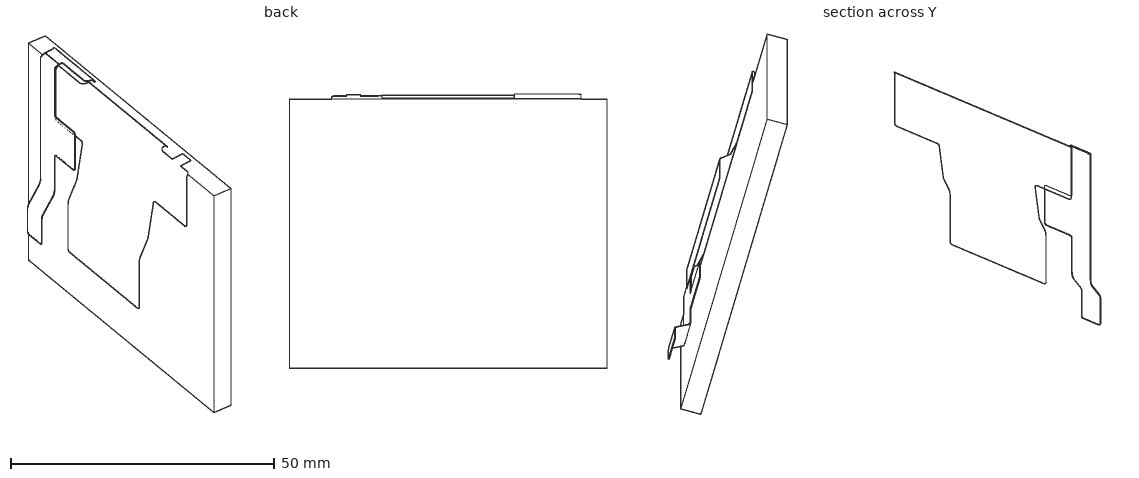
import cadquery as cq
import math


PLATE_WIDTH = 60.3
PLATE_DEPTH = 4.0
PLATE_HEIGHT = 51.15

SHEET_THICKNESS = 0.1
SHEET_FRONT = 0.72
SHEET_LEFT = 9.85
SHEET_RIGHT = 52.35
SHEET_BOTTOM = 39.25
SHEET_CORNER = 0.5
PANEL_CORNER = 0.7
FLANGE_ROOT_RADIUS = 1.0
TOP_BEND_START = 50.75
TOP_BEND_RADIUS = 1.1
TOP_BEND_ANGLE = 85
FLANGE_LEFT = 17.65
FLANGE_RIGHT = 42.7
FLANGE_RUN = 0.85
LIP_RADIUS = 0.6
LIP_ANGLE = 65
LIP_RUN = 0.3
TAB_LEFT = 46.8
TAB_RIGHT = 49.5
TAB_RUN = 2.15

TONGUE_LEFT = 18.6
TONGUE_RIGHT = 41.7
TONGUE_BOTTOM = 15.0
TONGUE_FRONT = 4.15
TONGUE_CORNER = 0.5
TONGUE_BEND_START = 39.7
TONGUE_FIRST_RADIUS = 5.25
TONGUE_FIRST_ANGLE = 9.2
TONGUE_FIRST_RUN = 7.6
TONGUE_SECOND_RADIUS = 3.0
TONGUE_SECOND_ANGLE = 26.6
TONGUE_LAST_RADIUS = 3.2

LEG_THICKNESS = 0.2
LEG_FRONT = 0.95
LEG_LEFT = 5.3
LEG_RIGHT = 9.8
LEG_BOTTOM = 11.1
LEG_FOOT_FRONT = 4.0
LEG_CORNER = 0.4
LEG_BEND_START = 23.0
LEG_BEND_ANGLE = 35
LEG_UPPER_RADIUS = 3.0
LEG_LOWER_RADIUS = 2.0
LEG_TOP_RADIUS = 0.7
LEG_TOP_ANGLE = 70
LEG_SHOULDER_RUN = 0.55
LEG_END_RADIUS = 0.5
LEG_END_ANGLE = 15
WING_RIGHT = 16.35
WING_BOTTOM = 31.1
WING_TOP = 40.1
WING_CORNER = 0.5

HOOK_LEFT = 4.9
HOOK_RIGHT = 17.6
HOOK_FRONT = 0.9
HOOK_STEP = 1.95
HOOK_CORNER = 1.0
HOOK_RUN = 1.5
HOOK_RADIUS = 1.35
HOOK_ANGLE = 70
HOOK_CREST = 52.15

CLEAR = 10.0
MATCH_TOLERANCE = 1e-4


def sine(angle):
    return math.sin(math.radians(angle))


def cosine(angle):
    return math.cos(math.radians(angle))


def trace(start, heading, moves):
    """Walk a strip's outer face in the (Y, Z) plane.

    A move is ("run", length) or ("bend", radius, angle); positive angles turn left.
    Returns the stations [(point, heading, move that led there)].
    """
    stations = [(start, heading, None)]
    y, z = start
    for move in moves:
        if move[0] == "run":
            y += move[1] * cosine(heading)
            z += move[1] * sine(heading)
        else:
            radius, angle = move[1:]
            side = math.copysign(1, angle)
            y += side * radius * (sine(heading + angle) - sine(heading))
            z += side * radius * (cosine(heading) - cosine(heading + angle))
            heading += angle
        stations.append(((y, z), heading, move))
    return stations


def bend_middle(station, end):
    """Point halfway along the bend between two stations."""
    point, heading, _ = station
    _, radius, angle = end[2]
    return trace(point, heading, [("bend", radius, angle / 2)])[-1][0]


def shift(point, heading, distance):
    """Move a point to the left of its heading."""
    return (point[0] - distance * sine(heading), point[1] + distance * cosine(heading))


def bent_strip(stations, inward, left, right):
    """Solid strip along X; `inward` is the signed thickness to the left of the walk."""
    profile = cq.Workplane("YZ", origin=(left, 0, 0)).moveTo(*stations[0][0])
    for before, after in zip(stations, stations[1:]):
        if after[2][0] == "run":
            profile = profile.lineTo(*after[0])
        else:
            profile = profile.threePointArc(bend_middle(before, after), after[0])

    inner = [shift(point, heading, inward) for point, heading, _ in stations]
    profile = profile.lineTo(*inner[-1])
    for index in range(len(stations) - 1, 0, -1):
        before, after = stations[index - 1], stations[index]
        if after[2][0] == "run":
            profile = profile.lineTo(*inner[index - 1])
        else:
            half_turn = before[1] + after[2][2] / 2
            middle = shift(bend_middle(before, after), half_turn, inward)
            profile = profile.threePointArc(middle, inner[index - 1])
    return profile.close().extrude(right - left)


def run_between_bends(offset, radii, angle):
    """Sloping length that completes a sideways offset between two opposite bends."""
    return (offset - sum(radii) * (1 - cosine(angle))) / sine(angle)


def front_outline(points):
    """Prism along Y with an (X, Z) outline."""
    return cq.Workplane("XZ", origin=(0, CLEAR, 0)).polyline(points).close().extrude(2 * CLEAR)


def plan_outline(points):
    """Prism along Z with an (X, Y) outline."""
    return cq.Workplane("XY").polyline(points).close().extrude(PLATE_HEIGHT + CLEAR)


def at_corner(edge, axis, corner):
    middle = edge.Center()
    across = middle.z if axis == "Y" else middle.y
    return math.hypot(middle.x - corner[0], across - corner[1]) < MATCH_TOLERANCE


def round_corners(prism, axis, corners, radius):
    """Fillet the prism edges along `axis` that stand at the given outline corners."""
    for corner in corners:
        edges = prism.edges("|" + axis).vals()
        chosen = [edge for edge in edges if at_corner(edge, axis, corner)]
        prism = prism.newObject(chosen).fillet(radius)
    return prism


def build_plate():
    return cq.Workplane("XY").box(PLATE_WIDTH, PLATE_DEPTH, PLATE_HEIGHT, centered=False)


def build_sheet():
    panel_start = (-SHEET_FRONT, TONGUE_BEND_START)
    rise = [
        ("run", TOP_BEND_START - TONGUE_BEND_START),
        ("bend", TOP_BEND_RADIUS, -TOP_BEND_ANGLE),
    ]
    lip = [("run", FLANGE_RUN), ("bend", LIP_RADIUS, -LIP_ANGLE), ("run", LIP_RUN)]
    panel = bent_strip(trace(panel_start, 90, rise + lip), -SHEET_THICKNESS, SHEET_LEFT, SHEET_RIGHT)
    flange_corners = [(FLANGE_LEFT, 0), (FLANGE_RIGHT, 0)]
    panel_corner = (SHEET_RIGHT, 0)
    plan = plan_outline([
        (SHEET_LEFT, -CLEAR),
        (SHEET_RIGHT, -CLEAR),
        panel_corner,
        flange_corners[1],
        (FLANGE_RIGHT, CLEAR),
        (FLANGE_LEFT, CLEAR),
        flange_corners[0],
        (SHEET_LEFT, 0),
    ])
    plan = round_corners(plan, "Z", flange_corners, FLANGE_ROOT_RADIUS)
    plan = round_corners(plan, "Z", [panel_corner], PANEL_CORNER)
    panel = panel.intersect(plan)

    tab = bent_strip(
        trace(panel_start, 90, rise + [("run", TAB_RUN)]), -SHEET_THICKNESS, TAB_LEFT, TAB_RIGHT)

    bends = [
        ("bend", TONGUE_FIRST_RADIUS, -TONGUE_FIRST_ANGLE),
        ("run", TONGUE_FIRST_RUN),
        ("bend", TONGUE_SECOND_RADIUS, TONGUE_FIRST_ANGLE - TONGUE_SECOND_ANGLE),
    ]
    kink = trace(panel_start, -90, bends)[-1][0]
    last_bend_offset = TONGUE_LAST_RADIUS * (1 - cosine(TONGUE_SECOND_ANGLE))
    bends += [
        ("run", (TONGUE_FRONT + kink[0] - last_bend_offset) / sine(TONGUE_SECOND_ANGLE)),
        ("bend", TONGUE_LAST_RADIUS, TONGUE_SECOND_ANGLE),
    ]
    straight_top = trace(panel_start, -90, bends)[-1][0][1]
    bends.append(("run", straight_top - TONGUE_BOTTOM))
    tongue = bent_strip(trace(panel_start, -90, bends), SHEET_THICKNESS, SHEET_LEFT, SHEET_RIGHT)
    panel_ends = [(SHEET_LEFT, SHEET_BOTTOM), (SHEET_RIGHT, SHEET_BOTTOM)]
    tongue_roots = [(TONGUE_LEFT, SHEET_BOTTOM), (TONGUE_RIGHT, SHEET_BOTTOM)]
    tongue_ends = [(TONGUE_LEFT, TONGUE_BOTTOM), (TONGUE_RIGHT, TONGUE_BOTTOM)]
    above = PLATE_HEIGHT + CLEAR
    front = front_outline([
        (SHEET_LEFT, above),
        panel_ends[0],
        tongue_roots[0],
        tongue_ends[0],
        tongue_ends[1],
        tongue_roots[1],
        panel_ends[1],
        (SHEET_RIGHT, above),
    ])
    front = round_corners(front, "Y", panel_ends + tongue_roots, SHEET_CORNER)
    front = round_corners(front, "Y", tongue_ends, TONGUE_CORNER)
    return panel.union(tab).union(tongue).intersect(front)


def leg_stations():
    """Outer face of the leg, from its foot up to the end that meets the hook."""
    radii = (LEG_LOWER_RADIUS, LEG_UPPER_RADIUS)
    slope = run_between_bends(LEG_FOOT_FRONT - LEG_FRONT, radii, LEG_BEND_ANGLE)
    bend_height = sum(radii) * sine(LEG_BEND_ANGLE) + slope * cosine(LEG_BEND_ANGLE)
    top_moves = [
        ("bend", LEG_TOP_RADIUS, -LEG_TOP_ANGLE),
        ("run", LEG_SHOULDER_RUN),
        ("bend", LEG_END_RADIUS, -LEG_END_ANGLE),
    ]
    remaining_tilt = 90 - LEG_TOP_ANGLE - LEG_END_ANGLE
    crest_moves = top_moves + [("run", HOOK_RUN), ("bend", HOOK_RADIUS, -remaining_tilt)]
    crest_rise = trace((0, 0), 90, crest_moves)[-1][0][1]
    return trace((-LEG_FOOT_FRONT, LEG_BOTTOM), 90, [
        ("run", LEG_BEND_START - bend_height - LEG_BOTTOM),
        ("bend", LEG_LOWER_RADIUS, -LEG_BEND_ANGLE),
        ("run", slope),
        ("bend", LEG_UPPER_RADIUS, LEG_BEND_ANGLE),
        ("run", HOOK_CREST - crest_rise - LEG_BEND_START),
    ] + top_moves)


def build_leg():
    strip = bent_strip(leg_stations(), -LEG_THICKNESS, LEG_LEFT, WING_RIGHT)
    feet = [(LEG_LEFT, LEG_BOTTOM), (LEG_RIGHT, LEG_BOTTOM)]
    wing_corners = [
        (LEG_RIGHT, WING_BOTTOM),
        (WING_RIGHT, WING_BOTTOM),
        (WING_RIGHT, WING_TOP),
        (LEG_RIGHT, WING_TOP),
    ]
    top = PLATE_HEIGHT + CLEAR
    outline = front_outline(feet + wing_corners + [(LEG_RIGHT, top), (LEG_LEFT, top)])
    outline = round_corners(outline, "Y", feet, LEG_CORNER)
    outline = round_corners(outline, "Y", wing_corners, WING_CORNER)
    return strip.intersect(outline)


def build_hook():
    end, heading, _ = leg_stations()[-1]
    moves = [("run", HOOK_RUN), ("bend", HOOK_RADIUS, -HOOK_ANGLE)]
    tail, tail_heading, _ = trace(end, heading, moves)[-1]
    inner_tail = shift(tail, tail_heading, -LEG_THICKNESS)
    moves.append(("run", (inner_tail[1] - PLATE_HEIGHT) / -sine(tail_heading)))
    strip = bent_strip(trace(end, heading, moves), -LEG_THICKNESS, HOOK_LEFT, HOOK_RIGHT)
    front_corner = (HOOK_RIGHT, HOOK_FRONT)
    outline = plan_outline([
        (LEG_LEFT, -CLEAR),
        (LEG_RIGHT, -CLEAR),
        (LEG_RIGHT, HOOK_FRONT),
        front_corner,
        (HOOK_RIGHT, CLEAR),
        (HOOK_LEFT, CLEAR),
        (HOOK_LEFT, HOOK_STEP + LEG_LEFT - HOOK_LEFT),
        (LEG_LEFT, HOOK_STEP),
    ])
    return strip.intersect(round_corners(outline, "Z", [front_corner], HOOK_CORNER))


plate = build_plate()
sheet = build_sheet()
leg = build_leg()
hook = build_hook()

result = cq.Compound.makeCompound([body.solids().val() for body in (plate, sheet, leg, hook)])